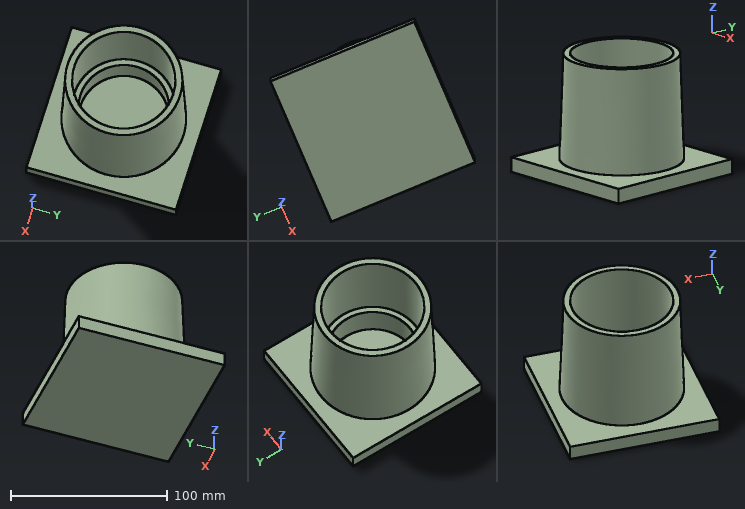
import cadquery as cq
import math

plate_side = 100.0
plate_thickness = 10.0

total_height = 80.0
socket_height = total_height - plate_thickness
draft_angle = 2.0
rim_diameter = 75.0
foot_diameter = rim_diameter + 2 * socket_height * math.tan(math.radians(draft_angle))

upper_bore_diameter = 66.0
upper_bore_depth = 50.0
lower_bore_diameter = 58.0
ledge_height = total_height - upper_bore_depth


def make_plate():
    return cq.Workplane("XY").box(plate_side, plate_side, plate_thickness, centered=(True, True, False))


def make_socket_body():
    return (
        cq.Workplane("XY", origin=(0, 0, plate_thickness))
        .circle(foot_diameter / 2)
        .workplane(offset=socket_height)
        .circle(rim_diameter / 2)
        .loft(ruled=True)
    )


def make_cylinder(diameter, bottom, top):
    return cq.Workplane("XY", origin=(0, 0, bottom)).circle(diameter / 2).extrude(top - bottom)


upper_bore = make_cylinder(upper_bore_diameter, ledge_height, total_height)
lower_bore = make_cylinder(lower_bore_diameter, plate_thickness, ledge_height)

result = make_plate().union(make_socket_body()).cut(upper_bore).cut(lower_bore)